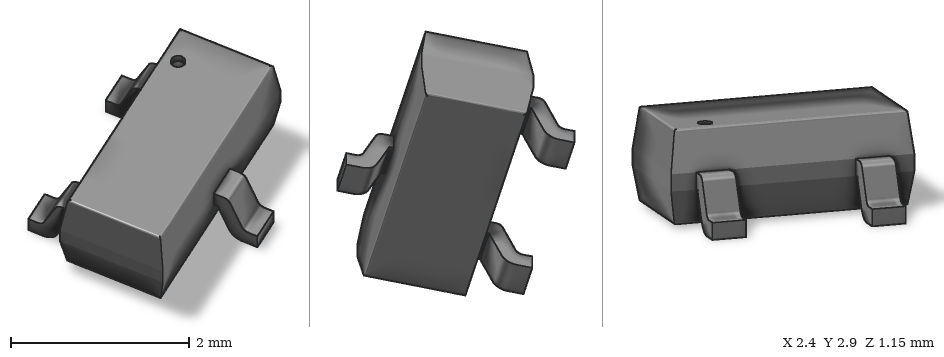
import cadquery as cq
import math

BODY_X = 1.3
BODY_Y = 2.9
TOP_Z = 1.15
STANDOFF = 0.05
TOP_INSET = 0.065
BOTTOM_INSET = 0.065
EDGE_RADIUS = 0.032

MARK_DIAMETER = 0.162
MARK_DEPTH = 0.1
MARK_X = -0.39

LEAD_THICKNESS = 0.2
LEAD_WIDTH = 0.4
LEAD_PITCH = 1.902
LEAD_SPAN = 2.4
LEAD_TOP_Z = 0.655
SHOULDER_X = 0.835
KNEE_X = 0.7
LEAD_SLOPE = 67.0
BEND_RADIUS = 0.093
HEEL_RADIUS = 0.19

LEAD_BOTTOM_Z = LEAD_TOP_Z - LEAD_THICKNESS


def tapered_block(start_z, height, inset):
    """Frustum on the body outline; a negative height extends downwards."""
    return (
        cq.Workplane("XY", origin=(0, 0, start_z))
        .rect(BODY_X, BODY_Y)
        .workplane(offset=height)
        .rect(BODY_X - 2 * inset, BODY_Y - 2 * inset)
        .loft(ruled=True)
    )


def make_housing():
    """Moulded body: a straight band between two tapered halves."""
    upper = tapered_block(LEAD_TOP_Z, TOP_Z - LEAD_TOP_Z, TOP_INSET)
    lower = tapered_block(LEAD_BOTTOM_Z, STANDOFF - LEAD_BOTTOM_Z, BOTTOM_INSET)
    band = (
        cq.Workplane("XY", origin=(0, 0, LEAD_BOTTOM_Z))
        .rect(BODY_X, BODY_Y)
        .extrude(LEAD_THICKNESS)
    )
    body = band.union(upper).union(lower)
    body = body.faces(">Z or <Z").edges().fillet(EDGE_RADIUS)
    mark = (
        cq.Workplane("XY", origin=(MARK_X, LEAD_PITCH / 2, TOP_Z))
        .circle(MARK_DIAMETER / 2)
        .extrude(-MARK_DEPTH)
    )
    return body.cut(mark)


def make_lead(side, center_y):
    """Gull-wing lead butting against the body; side is -1 for -X, +1 for +X."""
    run_per_rise = 1 / math.tan(math.radians(LEAD_SLOPE))
    foot_top_x = SHOULDER_X + (LEAD_TOP_Z - LEAD_THICKNESS) * run_per_rise
    heel_x = KNEE_X + LEAD_BOTTOM_Z * run_per_rise
    root_x = BODY_X / 2
    toe_x = LEAD_SPAN / 2
    outline = [
        (root_x, LEAD_TOP_Z),
        (SHOULDER_X, LEAD_TOP_Z),
        (foot_top_x, LEAD_THICKNESS),
        (toe_x, LEAD_THICKNESS),
        (toe_x, 0),
        (heel_x, 0),
        (KNEE_X, LEAD_BOTTOM_Z),
        (root_x, LEAD_BOTTOM_Z),
    ]
    lead = (
        cq.Workplane("XZ", origin=(0, center_y, 0))
        .polyline([(side * x, z) for x, z in outline])
        .close()
        .extrude(LEAD_WIDTH / 2, both=True)
    )
    bends = [
        (SHOULDER_X, LEAD_TOP_Z, BEND_RADIUS),
        (foot_top_x, LEAD_THICKNESS, BEND_RADIUS),
        (heel_x, 0, HEEL_RADIUS),
    ]
    for x, z, radius in bends:
        corner = cq.selectors.NearestToPointSelector((side * x, center_y, z))
        lead = lead.edges("|Y").edges(corner).fillet(radius)
    return lead


housing = make_housing()

lead_places = [(-1, LEAD_PITCH / 2), (-1, -LEAD_PITCH / 2), (1, 0)]
leads = [make_lead(side, center_y) for side, center_y in lead_places]

result = cq.Compound.makeCompound([housing.val(), *[lead.val() for lead in leads]])